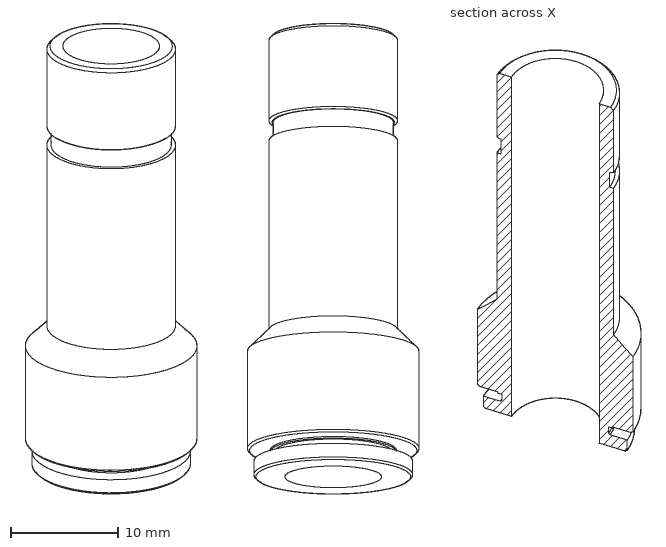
import cadquery as cq

bore_dia = 9.0
stem_dia = 12.0
stem_groove_dia = 11.2
body_dia = 16.0
lip_dia = 11.8
sleeve_dia = 11.0
flange_dia = 14.8

total_height = 42.0
groove_top = 34.0
groove_width = 1.9
shoulder_top = 14.0
body_bottom = 2.5
lip_height = 0.15
flange_height = 1.5

tip_chamfer = 0.3
groove_edge_width = 0.3
groove_edge_height = 0.15
body_chamfer = 0.2
flange_chamfer = 0.2
sleeve_root_chamfer = 0.15


def cylinder(diameter, bottom, top):
    """Upright cylinder on the Z axis between two heights."""
    return cq.Workplane("XY").workplane(offset=bottom).circle(diameter / 2).extrude(top - bottom)


def cone(bottom_dia, top_dia, bottom, top):
    """Upright frustum on the Z axis between two heights."""
    base = cq.Workplane("XY").workplane(offset=bottom).circle(bottom_dia / 2)
    return base.workplane(offset=top - bottom).circle(top_dia / 2).loft()


def make_stem():
    """Plug-in stem with a chamfered tip and a retaining groove."""
    groove_bottom = groove_top - groove_width
    neck_top = groove_top - groove_edge_height
    shank = cylinder(stem_dia, shoulder_top, groove_bottom)
    neck = cylinder(stem_groove_dia, groove_bottom, neck_top)
    groove_edge = cone(stem_dia - 2 * groove_edge_width, stem_dia, neck_top, groove_top)
    tip = cylinder(stem_dia, groove_top, total_height).faces(">Z").edges().chamfer(tip_chamfer)
    return shank.union(neck).union(groove_edge).union(tip)


def make_body():
    """Socket body with a 45 degree shoulder up to the stem and a small lip below."""
    shoulder = (body_dia - stem_dia) / 2
    body = cylinder(body_dia, body_bottom, shoulder_top)
    body = body.faces(">Z").edges().chamfer(shoulder)
    body = body.faces("<Z").edges().chamfer(body_chamfer)
    lip = cylinder(lip_dia, body_bottom - lip_height, body_bottom)
    return body.union(lip)


def make_release_sleeve():
    """Release sleeve: a thin neck, flared at its root, on a push flange at the bottom."""
    flange = cylinder(flange_dia, 0, flange_height).faces("<Z").edges().chamfer(flange_chamfer)
    root_top = flange_height + sleeve_root_chamfer
    root = cone(sleeve_dia + 2 * sleeve_root_chamfer, sleeve_dia, flange_height, root_top)
    neck = cylinder(sleeve_dia, root_top, body_bottom)
    return flange.union(root).union(neck)


bore = cylinder(bore_dia, 0, total_height)
result = make_stem().union(make_body()).union(make_release_sleeve()).cut(bore)